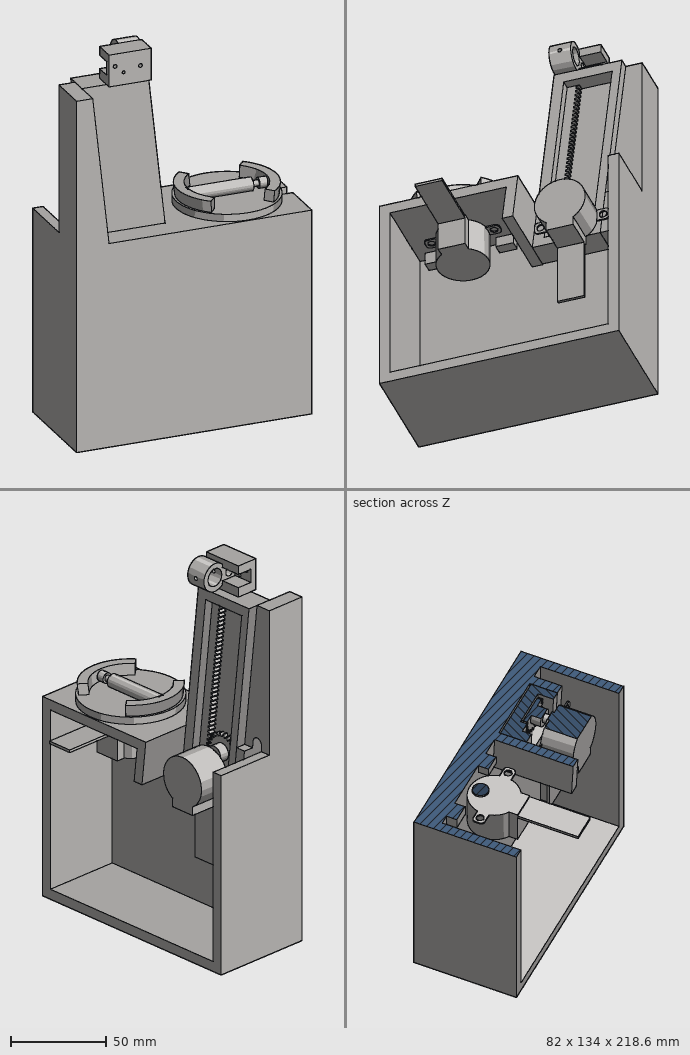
import cadquery as cq
import math


WIDTH = 59.5
LENGTH = 134.0
TABLE_Z = 116.3
COLUMN_Z = 200.5
WALL = 6.0
COLUMN_X = 35.5
CAVITY_DEPTH = 45.5
POCKET_SPRING_Z = 120.0
NOTCH_WIDTH = 8.0

LEAN = math.radians(6.3)
SLIDER_X = 29.5
SLIDER_BACK_X = 44.8
SLIDER_BOTTOM_Z = 90.5
SLIDER_FRONT_TOP_Y = 9.2
SLIDER_WIDTH = 38.0
GUIDE_WIDTH = 6.0
POCKET_FRONT_MARGIN = 4.8
POCKET_REAR_MARGIN = 6.1
POCKET_TOP_MARGIN = 6.0
POCKET_BOTTOM_MARGIN = 5.0
RACK_FACE_X = 34.8
POCKET_FLOOR_X = 38.5

MOTOR_DIAMETER = 28.5
MOTOR_LENGTH = 19.0
FLANGE_THICKNESS = 0.8
EAR_SPAN = 42.0
EAR_WIDTH = 6.8
EAR_ROUNDING = 2.2
EAR_HOLE_SPACING = 35.0
EAR_HOLE_DIAMETER = 4.2
TERMINAL_WIDTH = 15.0
TERMINAL_REACH = 17.0
CABLE_LENGTH = 35.0
CABLE_THICKNESS = 1.5
BOSS_DIAMETER = 9.0
BOSS_HEIGHT = 1.3
SHAFT_DIAMETER = 5.0
SHAFT_LENGTH = 10.0
SHAFT_OFFSET = 7.9

SLIDE_MOTOR_ORIGIN = (25.4, 35.5, 98.4)

TEETH = 24
PITCH_RADIUS = 9.73
MODULE = 2 * PITCH_RADIUS / TEETH
TOOTH_PITCH = math.pi * MODULE
ADDENDUM = MODULE
DEDENDUM = 1.25 * MODULE
TOOTH_TIP_HALF = 0.12 * TOOTH_PITCH
TOOTH_ROOT_HALF = 0.34 * TOOTH_PITCH
MESH_CLEARANCE = 0.2
FIRST_RACK_TOOTH = -8
LAST_RACK_TOOTH = 40
PINION_X = 35.2
PINION_THICKNESS = 2.6
HUB_DIAMETER = 10.0
HUB_START_X = SLIDER_X
PINION_Y = SLIDE_MOTOR_ORIGIN[1]
PINION_Z = SLIDE_MOTOR_ORIGIN[2] + SHAFT_OFFSET

BRACKET_BACK_X = 48.3
BRACKET_TOP_Z = 218.6
BRACKET_FRONT_Y = 23.2
BRACKET_REAR_Y = SLIDER_FRONT_TOP_Y + SLIDER_WIDTH
ARM_END_X = 44.5
ARM_BOTTOM_Z = 206.0
ARM_TOP_Z = 213.6
RING_DIAMETER = 16.2
RING_BORE = 10.0
RING_X = WIDTH / 2
RING_Z = (ARM_BOTTOM_Z + ARM_TOP_Z) / 2
RING_FRONT_Y = 35.0
ARM_HOLE_X = 40.2
ARM_HOLE_DIAMETER = 5.0
CROSS_HOLE_DIAMETER = 2.08
LOWER_HOLE_DIAMETER = 1.62
CROSS_HOLE_Y = (RING_FRONT_Y + BRACKET_REAR_Y) / 2
UPPER_HOLE_YZ = (26.7, 211.6)
LOWER_HOLE_YZ = (31.5, 207.5)

TABLE_X = WIDTH / 2
TABLE_Y = 98.2
DISC_DIAMETER = 58.0
DISC_THICKNESS = 4.2
GRIP_HEIGHT = 6.5
GRIP_OUTER_RADIUS = 27.5
GRIP_INNER_RADIUS = 21.9
GRIP_FLARE = 0.7
GRIP_HALF_ANGLE = math.radians(50)
AMPOULE_DIAMETER = 7.7
NECK_DIAMETER = 3.5
HEAD_DIAMETER = 6.0
AMPOULE_FRONT_Y = 75.2
BODY_END_Y = 112.0
NECK_END_Y = 115.9
HEAD_END_Y = 120.5
AMPOULE_Z = TABLE_Z + DISC_THICKNESS + GRIP_HEIGHT - AMPOULE_DIAMETER / 2

TABLE_MOTOR_ORIGIN = (29.5, TABLE_Y, 108.5)

LUG_DEPTH = 6.0
LUGS = [(73.7, 83.5, 104.5), (112.5, 123.0, 103.2)]


def block(x0, x1, y0, y1, z0, z1):
    """Box between two corners."""
    return cq.Workplane("XY").box(x1 - x0, y1 - y0, z1 - z0, centered=False).translate((x0, y0, z0))


def rod_x(x0, x1, y, z, diameter):
    """Cylinder along X."""
    return cq.Workplane("YZ", origin=(x0, y, z)).circle(diameter / 2).extrude(x1 - x0)


def rod_y(y0, y1, x, z, diameter):
    """Cylinder along Y."""
    return cq.Workplane("XZ", origin=(x, y0, z)).circle(diameter / 2).extrude(y0 - y1)


def slider_front_y(z):
    """Y of the leaning front face of the slider at height z."""
    return SLIDER_FRONT_TOP_Y + (COLUMN_Z - z) * math.tan(LEAN)


def slanted(x0, x1, front, rear, z0, z1):
    """Leaning prism; front and rear are Y distances from the slider front face."""
    corners = [
        (slider_front_y(z0) + front, z0),
        (slider_front_y(z0) + rear, z0),
        (slider_front_y(z1) + rear, z1),
        (slider_front_y(z1) + front, z1),
    ]
    return cq.Workplane("YZ", origin=(x0, 0, 0)).polyline(corners).close().extrude(x1 - x0)


def cavity():
    """Room inside the housing, with a round-topped pocket in front of the guides."""
    ceiling = TABLE_Z - WALL
    rear = LENGTH - WALL
    guide_front = slider_front_y(POCKET_SPRING_Z) - GUIDE_WIDTH
    arch_radius = (guide_front - WALL) / 2
    rear_guide = SLIDER_WIDTH + GUIDE_WIDTH
    return (
        cq.Workplane("YZ")
        .moveTo(rear, WALL)
        .lineTo(WALL, WALL)
        .lineTo(WALL, POCKET_SPRING_Z)
        .threePointArc((WALL + arch_radius, POCKET_SPRING_Z + arch_radius), (guide_front, POCKET_SPRING_Z))
        .lineTo(slider_front_y(SLIDER_BOTTOM_Z) - GUIDE_WIDTH, SLIDER_BOTTOM_Z)
        .lineTo(slider_front_y(SLIDER_BOTTOM_Z) + rear_guide, SLIDER_BOTTOM_Z)
        .lineTo(slider_front_y(ceiling) + rear_guide, ceiling)
        .lineTo(rear, ceiling)
        .close()
        .extrude(CAVITY_DEPTH)
    )


def build_housing():
    column = (
        cq.Workplane("YZ", origin=(COLUMN_X, 0, 0))
        .polyline([
            (0, 0),
            (slider_front_y(0), 0),
            (SLIDER_FRONT_TOP_Y, COLUMN_Z),
            (0, COLUMN_Z),
        ])
        .close()
        .extrude(WIDTH - COLUMN_X)
    )
    slide_slot = slanted(0, CAVITY_DEPTH, 0, SLIDER_WIDTH, SLIDER_BOTTOM_Z, COLUMN_Z)
    front_opening = slanted(0, SLIDER_X, -GUIDE_WIDTH, 0, SLIDER_BOTTOM_Z, TABLE_Z)
    front_opening = front_opening.union(
        block(0, SLIDER_X, WALL, slider_front_y(TABLE_Z), TABLE_Z - WALL, TABLE_Z)
    )
    notch = block(
        TABLE_X - NOTCH_WIDTH / 2, TABLE_X + NOTCH_WIDTH / 2,
        LENGTH - WALL, LENGTH, TABLE_Z - WALL, TABLE_Z,
    )
    shaft_hole = (
        cq.Workplane("XY", origin=TABLE_MOTOR_ORIGIN)
        .center(SHAFT_OFFSET, 0)
        .circle(SHAFT_DIAMETER / 2)
        .extrude(SHAFT_LENGTH)
    )
    body = block(0, WIDTH, 0, LENGTH, 0, TABLE_Z).union(column)
    for cut in (cavity(), slide_slot, front_opening, notch, shaft_hole):
        body = body.cut(cut)
    for front_y, rear_y, bottom_z in LUGS:
        lug = block(CAVITY_DEPTH - LUG_DEPTH, CAVITY_DEPTH, front_y, rear_y, bottom_z, TABLE_Z - WALL)
        body = body.union(lug)
    return body


def rack_gap():
    """Space in front of the rack teeth, drawn along the lean from the pinion centre."""
    plane = cq.Plane(
        origin=(RACK_FACE_X, PINION_Y, PINION_Z),
        xDir=(0, -math.sin(LEAN), math.cos(LEAN)),
        normal=(-1, 0, 0),
    )
    tip = PITCH_RADIUS - ADDENDUM + MESH_CLEARANCE
    root = PITCH_RADIUS + DEDENDUM + MESH_CLEARANCE
    points = [((FIRST_RACK_TOOTH - 0.5) * TOOTH_PITCH, -SLIDER_WIDTH)]
    for i in range(FIRST_RACK_TOOTH, LAST_RACK_TOOTH):
        middle = (i + 0.5) * TOOTH_PITCH
        points += [
            (middle - TOOTH_ROOT_HALF, root),
            (middle - TOOTH_TIP_HALF, tip),
            (middle + TOOTH_TIP_HALF, tip),
            (middle + TOOTH_ROOT_HALF, root),
        ]
    points.append(((LAST_RACK_TOOTH + 0.5) * TOOTH_PITCH, -SLIDER_WIDTH))
    return cq.Workplane(plane).polyline(points).close().extrude(RACK_FACE_X - POCKET_FLOOR_X)


def build_slider():
    body = slanted(SLIDER_X, SLIDER_BACK_X, 0, SLIDER_WIDTH, SLIDER_BOTTOM_Z, COLUMN_Z)
    pocket_limits = (
        POCKET_FRONT_MARGIN,
        SLIDER_WIDTH - POCKET_REAR_MARGIN,
        SLIDER_BOTTOM_Z + POCKET_BOTTOM_MARGIN,
        COLUMN_Z - POCKET_TOP_MARGIN,
    )
    pocket = slanted(SLIDER_X, RACK_FACE_X, *pocket_limits)
    deep_pocket = slanted(RACK_FACE_X, POCKET_FLOOR_X, *pocket_limits).intersect(rack_gap())
    return body.cut(pocket).cut(deep_pocket)


def build_bracket():
    """C-shaped block on top of the slider, open towards the ring."""
    body = block(COLUMN_X, BRACKET_BACK_X, BRACKET_FRONT_Y, BRACKET_REAR_Y, COLUMN_Z, BRACKET_TOP_Z)
    body = body.cut(
        block(COLUMN_X, ARM_END_X, BRACKET_FRONT_Y, BRACKET_REAR_Y, ARM_BOTTOM_Z, ARM_TOP_Z)
    )
    holes = [
        (*UPPER_HOLE_YZ, CROSS_HOLE_DIAMETER),
        (*LOWER_HOLE_YZ, LOWER_HOLE_DIAMETER),
        (CROSS_HOLE_Y, RING_Z, CROSS_HOLE_DIAMETER),
    ]
    for y, z, diameter in holes:
        body = body.cut(rod_x(ARM_END_X, BRACKET_BACK_X, y, z, diameter))
    return body


def build_ring_holder():
    """Ring with an arm that fills the rear of the bracket slot."""
    ring = rod_y(RING_FRONT_Y, BRACKET_REAR_Y, RING_X, RING_Z, RING_DIAMETER)
    beside_bracket = block(0, COLUMN_X, 0, LENGTH, COLUMN_Z, BRACKET_TOP_Z)
    arm = block(RING_X, ARM_END_X, RING_FRONT_Y, BRACKET_REAR_Y, ARM_BOTTOM_Z, ARM_TOP_Z)
    return (
        ring.intersect(beside_bracket)
        .union(arm)
        .cut(rod_y(RING_FRONT_Y, BRACKET_REAR_Y, RING_X, RING_Z, RING_BORE))
        .cut(rod_y(RING_FRONT_Y, BRACKET_REAR_Y, ARM_HOLE_X, RING_Z, ARM_HOLE_DIAMETER))
        .cut(rod_x(0, ARM_END_X, CROSS_HOLE_Y, RING_Z, CROSS_HOLE_DIAMETER))
    )


def build_motor(plane):
    """Stepper motor; the plane lies on the flange and the cable leaves along its -x axis."""
    base = cq.Workplane(plane)
    can = base.circle(MOTOR_DIAMETER / 2).extrude(-MOTOR_LENGTH)
    terminal = (
        base.center(-TERMINAL_REACH / 2, 0)
        .rect(TERMINAL_REACH, TERMINAL_WIDTH)
        .extrude(-MOTOR_LENGTH)
    )
    ears = (
        base.rect(EAR_WIDTH, EAR_SPAN)
        .extrude(-FLANGE_THICKNESS)
        .edges(cq.selectors.ParallelDirSelector(plane.zDir))
        .fillet(EAR_ROUNDING)
        .cut(
            base.pushPoints([(0, EAR_HOLE_SPACING / 2), (0, -EAR_HOLE_SPACING / 2)])
            .circle(EAR_HOLE_DIAMETER / 2)
            .extrude(-FLANGE_THICKNESS)
        )
    )
    cable = (
        base.workplane(offset=-FLANGE_THICKNESS)
        .center(-TERMINAL_REACH - CABLE_LENGTH / 2, 0)
        .rect(CABLE_LENGTH, TERMINAL_WIDTH)
        .extrude(-CABLE_THICKNESS)
    )
    boss = base.center(SHAFT_OFFSET, 0).circle(BOSS_DIAMETER / 2).extrude(BOSS_HEIGHT)
    shaft = base.center(SHAFT_OFFSET, 0).circle(SHAFT_DIAMETER / 2).extrude(SHAFT_LENGTH)
    return can.union(terminal).union(ears).union(cable).union(boss).union(shaft)


def build_pinion():
    """Gear with a hub towards the motor, one tooth pointing at a gap of the rack."""
    root = PITCH_RADIUS - DEDENDUM
    tip = PITCH_RADIUS + ADDENDUM
    points = []
    for i in range(TEETH):
        middle = 2 * math.pi * i / TEETH + LEAN
        for radius, half_width, side in (
            (root, TOOTH_ROOT_HALF, -1),
            (tip, TOOTH_TIP_HALF, -1),
            (tip, TOOTH_TIP_HALF, 1),
            (root, TOOTH_ROOT_HALF, 1),
        ):
            angle = middle + side * half_width / radius
            points.append((radius * math.cos(angle), radius * math.sin(angle)))
    gear = (
        cq.Workplane("YZ", origin=(PINION_X, PINION_Y, PINION_Z))
        .polyline(points)
        .close()
        .extrude(PINION_THICKNESS)
    )
    hub = rod_x(HUB_START_X, PINION_X, PINION_Y, PINION_Z, HUB_DIAMETER)
    bore_end = PINION_X + PINION_THICKNESS
    bore = rod_x(HUB_START_X, bore_end, PINION_Y, PINION_Z, SHAFT_DIAMETER)
    return gear.union(hub).cut(bore)


def build_ampoule():
    body = rod_y(AMPOULE_FRONT_Y, BODY_END_Y, TABLE_X, AMPOULE_Z, AMPOULE_DIAMETER)
    neck = rod_y(BODY_END_Y, NECK_END_Y, TABLE_X, AMPOULE_Z, NECK_DIAMETER)
    head = rod_y(NECK_END_Y, HEAD_END_Y, TABLE_X, AMPOULE_Z, HEAD_DIAMETER)
    return body.union(neck).union(head)


def build_turntable(ampoule, motor):
    """Disc with two flared grips, seated on the motor shaft and around the ampoule."""
    disc_top = TABLE_Z + DISC_THICKNESS
    disc = (
        cq.Workplane("XY", origin=(TABLE_X, TABLE_Y, TABLE_Z))
        .circle(DISC_DIAMETER / 2)
        .extrude(DISC_THICKNESS)
    )
    flared_wall = (
        cq.Workplane("XZ")
        .polyline([
            (GRIP_INNER_RADIUS, 0),
            (GRIP_OUTER_RADIUS, 0),
            (GRIP_OUTER_RADIUS + GRIP_FLARE, GRIP_HEIGHT),
            (GRIP_INNER_RADIUS + GRIP_FLARE, GRIP_HEIGHT),
        ])
        .close()
        .revolve(360, (0, 0, 0), (0, 1, 0))
    )
    sector_y = DISC_DIAMETER
    sector_x = sector_y * math.tan(GRIP_HALF_ANGLE)
    table = disc
    for side in (-1, 1):
        sector = (
            cq.Workplane("XY")
            .polyline([(0, 0), (sector_x, side * sector_y), (-sector_x, side * sector_y)])
            .close()
            .extrude(GRIP_HEIGHT)
        )
        grip = flared_wall.intersect(sector)
        table = table.union(grip.translate((TABLE_X, TABLE_Y, disc_top)))
    return table.cut(ampoule).cut(motor)


housing = build_housing()
slider = build_slider()
bracket = build_bracket()
ring_holder = build_ring_holder()
pinion = build_pinion()
ampoule = build_ampoule()

MOTOR_PLANES = [
    cq.Plane(origin=SLIDE_MOTOR_ORIGIN, xDir=(0, 0, 1), normal=(1, 0, 0)),
    cq.Plane(origin=TABLE_MOTOR_ORIGIN, xDir=(1, 0, 0), normal=(0, 0, 1)),
]
motors = [build_motor(plane) for plane in MOTOR_PLANES]
table_motor = motors[1]
turntable = build_turntable(ampoule, table_motor)

result = cq.Compound.makeCompound([
    housing.solids().val(),
    slider.solids().val(),
    bracket.solids().val(),
    ring_holder.solids().val(),
    pinion.solids().val(),
    turntable.solids().val(),
    ampoule.solids().val(),
    *[motor.solids().val() for motor in motors],
])